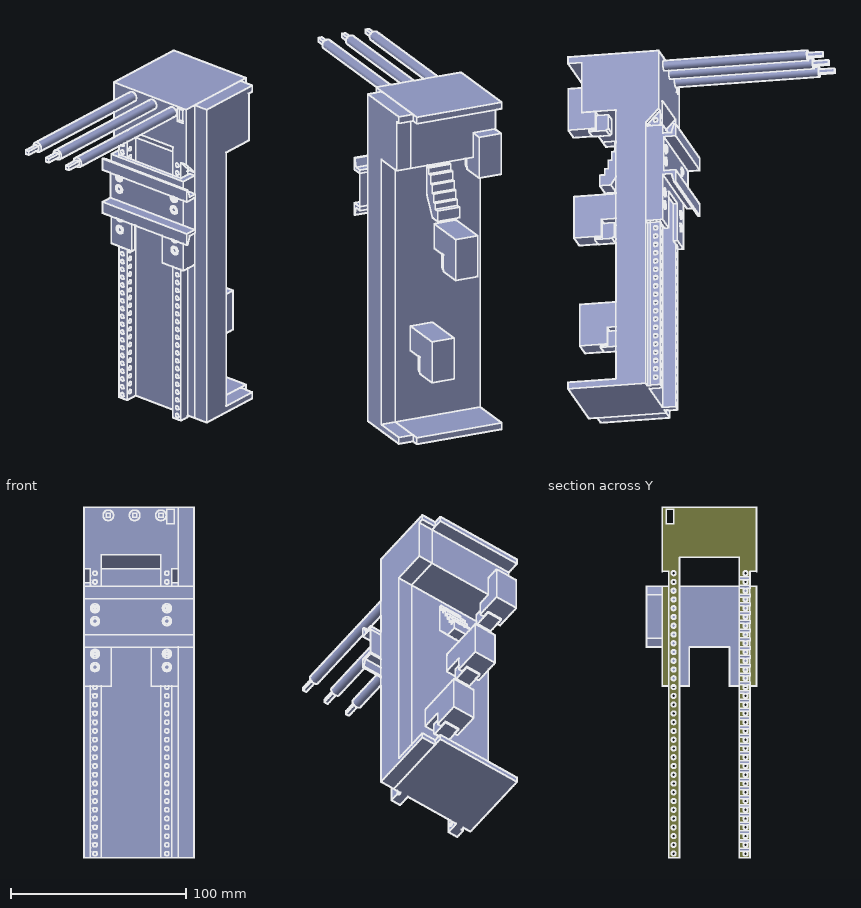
import cadquery as cq


HEIGHT = 200.0
WIDTH = 54.0
BACK_Y = 53.0
HEAD_BACK_Y = 45.0
COLUMN_BACK_Y = 25.0
HEAD_BOTTOM_Z = 166.0
TOP_FLANGE = 4.0
BOTTOM_FLANGE = 4.0

RIB_OUTER_INSET = 3.8
RIB_INNER_INSET = 10.0
RECESS_DEPTH = 7.5
CEILING_DROP = 8.0
SIDE_RECESS_TOP_Z = 157.0
CENTRE_RECESS_TOP_Z = 165.0
UNDERCUT_FRONT_Y = 5.8
UNDERCUT = 1.2
PERFORATION_DIAMETER = 2.5
PERFORATION_PITCH = 5.0
FRONT_PERFORATIONS = 33
FRONT_PERFORATION_DEPTH = 3.0
SIDE_PERFORATIONS = 32
FIRST_FRONT_Z = 2.5
FIRST_SIDE_Z = 4.5
SIDE_PERFORATION_Y = 2.5
FASTENER_XS = (6.5, 47.5)

POCKET_X = 47.5
POCKET_WIDTH = 4.2
POCKET_TOP_Z = 198.8
POCKET_HEIGHT = 8.2
POCKET_DEPTH = 2.0

HOOK_TOPS_Z = (181.0, 121.0, 61.0)
HOOK_FIRST_X = 0.5
HOOK_PITCH_X = 15.0
HOOK_WIDTH = 14.0
HOOK_HEIGHT = 25.0
HOOK_ARM = 15.0
HOOK_LIP_Y = 37.0
CLAMP_INSET = 2.5
CLAMP_FRONT_Y = 30.0
CLAMP_BACK_Y = 41.5
CLAMP_TOP_DROP = 16.5
CLAMP_BOTTOM_DROP = 26.0
CLAMP_CHAMFER = 1.2

LEVER_WIDTH = 14.0
LEVER_ROOT_Z = 139.5
LEVER_TOP_Z = 161.0
LEVER_COLLAR = ((26.0, 156.8), (27.5, 153.2))
LEVER_TEETH = 3
LEVER_TEETH_Y = 30.0
LEVER_TEETH_Z = 148.0
LEVER_TOOTH_DEPTH = 2.0
LEVER_TOOTH_HEIGHT = 5.0
LEVER_GRIP_TOP_Z = 134.5
LEVER_GRIP_BACK_Y = 39.0
LEVER_GRIP_FRONT_Y = 32.5
LEVER_BOTTOM_Z = 128.0

MODULE_WIDTH = 9.0
MODULE_BACK_Y = 48.0

OVERALL_WIDTH = WIDTH + MODULE_WIDTH
SADDLE_FRONT_Y = -2.5
FOOT_BOTTOM_Z = 98.0
FOOT_WIDTH = 15.5
RAIL_CENTRE_Z = 137.5
RAIL_HALF_HEIGHT = 17.5
RAIL_INNER_HALF = 10.2
RAIL_FLANGE = 2.2
RAIL_WEB_FRONT_Y = -3.0
RAIL_FRONT_Y = -10.0
LIP_ROOT_Y = -7.5
LIP_TIP_Y = -9.0
CARRIER_TOP_Z = RAIL_CENTRE_Z + RAIL_HALF_HEIGHT

SCREW_DIAMETER = 3.0
GROOVE_DIAMETER = 5.0
GROOVE_FLOOR_Y = -0.8
SCREW_PROUD = 0.5
UPPER_SCREW_Z = 142.5
LOWER_SCREW_Z = 135.0
FOOT_SCREW_ZS = (116.5, 108.8)
SLOT_WIDTH = 0.8
SLOT_DEPTH = 0.5
UPPER_SLOT_ANGLE = 90
FOOT_SLOT_ANGLE = 0

WIRE_XS = (14.0, 29.0, 44.0)
WIRE_Z = 195.5
WIRE_DIAMETER = 6.0
WIRE_LENGTH = 84.0
CONDUCTOR_SIDE = 2.5
CONDUCTOR_LENGTH = 9.0


def box(x0, x1, y0, y1, z0, z1):
    return cq.Workplane("XY").box(x1 - x0, y1 - y0, z1 - z0, centered=False).translate((x0, y0, z0))


def extrude_profile(points_yz, x0, x1):
    return cq.Workplane("YZ", origin=(x0, 0, 0)).polyline(points_yz).close().extrude(x1 - x0)


def rod(x, z, back_y, front_y, diameter):
    """Round rod that runs forwards from back_y to front_y."""
    return cq.Workplane("XZ", origin=(x, back_y, z)).circle(diameter / 2).extrude(back_y - front_y)


def column_profile(front_y, flange_y):
    """Side outline with an upper head and a flange at each end reaching flange_y."""
    return [
        (front_y, 0),
        (flange_y, 0),
        (flange_y, BOTTOM_FLANGE),
        (COLUMN_BACK_Y, BOTTOM_FLANGE),
        (COLUMN_BACK_Y, HEAD_BOTTOM_Z),
        (HEAD_BACK_Y, HEAD_BOTTOM_Z),
        (HEAD_BACK_Y, HEIGHT - TOP_FLANGE),
        (flange_y, HEIGHT - TOP_FLANGE),
        (flange_y, HEIGHT),
        (front_y, HEIGHT),
    ]


def front_recess(x0, x1, top_z):
    """Recess open at the bottom, with a sloping ceiling."""
    outline = [(0, 0), (RECESS_DEPTH, 0), (RECESS_DEPTH, top_z), (0, top_z + CEILING_DROP)]
    return extrude_profile(outline, x0, x1)


def front_perforations():
    heights = [FIRST_FRONT_Z + i * PERFORATION_PITCH for i in range(FRONT_PERFORATIONS)]
    points = [(x, z) for x in FASTENER_XS for z in heights]
    plane = cq.Workplane("XZ", origin=(0, FRONT_PERFORATION_DEPTH, 0))
    return plane.pushPoints(points).circle(PERFORATION_DIAMETER / 2).extrude(FRONT_PERFORATION_DEPTH)


def side_perforations():
    points = [(SIDE_PERFORATION_Y, FIRST_SIDE_Z + i * PERFORATION_PITCH) for i in range(SIDE_PERFORATIONS)]
    plane = cq.Workplane("YZ")
    return plane.pushPoints(points).circle(PERFORATION_DIAMETER / 2).extrude(RIB_INNER_INSET)


def make_hook(x, top_z):
    """Hook with a clamp block in the mouth of its jaw."""
    bottom_z = top_z - HOOK_HEIGHT
    arm = box(x, x + HOOK_WIDTH, COLUMN_BACK_Y, BACK_Y, top_z - HOOK_ARM, top_z)
    jaw = box(x, x + HOOK_WIDTH, HOOK_LIP_Y, BACK_Y, bottom_z, top_z)
    clamp = box(
        x + CLAMP_INSET,
        x + HOOK_WIDTH - CLAMP_INSET,
        CLAMP_FRONT_Y,
        CLAMP_BACK_Y,
        top_z - CLAMP_BOTTOM_DROP,
        top_z - CLAMP_TOP_DROP,
    )
    clamp = clamp.edges("|X and <Z and <Y").chamfer(CLAMP_CHAMFER)
    return arm.union(jaw).union(clamp)


def make_lever():
    """Lever whose side outline runs root, stepped collar, teeth and grip."""
    root = [(COLUMN_BACK_Y, LEVER_ROOT_Z), (COLUMN_BACK_Y, LEVER_TOP_Z)]
    collar = []
    ledge_z = LEVER_TOP_Z
    for back_y, bottom_z in LEVER_COLLAR:
        collar += [(back_y, ledge_z), (back_y, bottom_z)]
        ledge_z = bottom_z
    collar.append((LEVER_TEETH_Y, ledge_z))
    teeth = []
    for i in range(LEVER_TEETH):
        y = LEVER_TEETH_Y + i * LEVER_TOOTH_DEPTH
        z = LEVER_TEETH_Z - i * LEVER_TOOTH_HEIGHT
        teeth += [(y, z), (y + LEVER_TOOTH_DEPTH, z)]
    grip = [
        (LEVER_TEETH_Y + LEVER_TEETH * LEVER_TOOTH_DEPTH, LEVER_GRIP_TOP_Z),
        (LEVER_GRIP_BACK_Y, LEVER_GRIP_TOP_Z),
        (LEVER_GRIP_BACK_Y, LEVER_BOTTOM_Z),
        (LEVER_GRIP_FRONT_Y, LEVER_BOTTOM_Z),
    ]
    outline = root + collar + teeth + grip
    x0 = (WIDTH - LEVER_WIDTH) / 2
    return extrude_profile(outline, x0, x0 + LEVER_WIDTH)


def make_housing():
    body = extrude_profile(column_profile(0, BACK_Y), 0, WIDTH)

    body = body.cut(front_recess(0, RIB_OUTER_INSET, SIDE_RECESS_TOP_Z))
    body = body.cut(front_recess(WIDTH - RIB_OUTER_INSET, WIDTH, SIDE_RECESS_TOP_Z))
    body = body.cut(front_recess(RIB_INNER_INSET, WIDTH - RIB_INNER_INSET, CENTRE_RECESS_TOP_Z))

    undercut_end = RIB_OUTER_INSET + UNDERCUT
    for x0 in (0, WIDTH - undercut_end):
        body = body.cut(
            box(x0, x0 + undercut_end, UNDERCUT_FRONT_Y, RECESS_DEPTH, 0, SIDE_RECESS_TOP_Z)
        )

    body = body.cut(front_perforations()).cut(side_perforations())

    body = body.cut(
        box(
            POCKET_X,
            POCKET_X + POCKET_WIDTH,
            0,
            POCKET_DEPTH,
            POCKET_TOP_Z - POCKET_HEIGHT,
            POCKET_TOP_Z,
        )
    )
    for i, top_z in enumerate(HOOK_TOPS_Z):
        body = body.union(make_hook(HOOK_FIRST_X + i * HOOK_PITCH_X, top_z))
    return body


def make_module():
    """Side module with the column outline of the housing, but less deep."""
    return extrude_profile(column_profile(RECESS_DEPTH, MODULE_BACK_Y), WIDTH, OVERALL_WIDTH)


def make_rail():
    outer_half = RAIL_INNER_HALF + RAIL_FLANGE
    upper_half = [
        (RAIL_WEB_FRONT_Y, RAIL_INNER_HALF),
        (RAIL_FRONT_Y, RAIL_INNER_HALF),
        (RAIL_FRONT_Y, RAIL_HALF_HEIGHT),
        (LIP_TIP_Y, RAIL_HALF_HEIGHT),
        (LIP_ROOT_Y, outer_half),
        (SADDLE_FRONT_Y, outer_half),
    ]
    lower_half = [(y, -z) for y, z in reversed(upper_half)]
    outline = [(y, RAIL_CENTRE_Z + z) for y, z in upper_half + lower_half]
    return extrude_profile(outline, 0, OVERALL_WIDTH)


def make_saddle():
    saddle = box(0, WIDTH, SADDLE_FRONT_Y, 0, RAIL_CENTRE_Z - RAIL_HALF_HEIGHT, CARRIER_TOP_Z)
    for x0 in (0, WIDTH - FOOT_WIDTH):
        foot = box(x0, x0 + FOOT_WIDTH, SADDLE_FRONT_Y, 0, FOOT_BOTTOM_Z, CARRIER_TOP_Z)
        saddle = saddle.union(foot)
    for x0 in (0, WIDTH - RIB_OUTER_INSET):
        flank = box(x0, x0 + RIB_OUTER_INSET, SADDLE_FRONT_Y, RECESS_DEPTH, FOOT_BOTTOM_Z, CARRIER_TOP_Z)
        saddle = saddle.union(flank)
    return saddle


def add_screw(body, x, z, surface_y, head_y, slot_angle=None):
    """Ring groove sunk from surface_y around a screw head whose face lies at head_y."""
    body = body.cut(rod(x, z, GROOVE_FLOOR_Y, surface_y, GROOVE_DIAMETER))
    head = rod(x, z, GROOVE_FLOOR_Y, head_y, SCREW_DIAMETER)
    if slot_angle is not None:
        slot = cq.Workplane("XY").box(GROOVE_DIAMETER, 2 * SLOT_DEPTH, SLOT_WIDTH)
        slot = slot.rotate((0, 0, 0), (0, 1, 0), slot_angle).translate((x, head_y, z))
        head = head.cut(slot)
    return body.union(head)


def make_carrier():
    proud_y = RAIL_WEB_FRONT_Y - SCREW_PROUD
    slotted_foot_z, plain_foot_z = FOOT_SCREW_ZS
    carrier = make_saddle().union(make_rail())
    for x in FASTENER_XS:
        carrier = add_screw(carrier, x, UPPER_SCREW_Z, RAIL_WEB_FRONT_Y, proud_y, UPPER_SLOT_ANGLE)
        carrier = add_screw(carrier, x, LOWER_SCREW_Z, RAIL_WEB_FRONT_Y, RAIL_WEB_FRONT_Y)
        carrier = add_screw(carrier, x, slotted_foot_z, SADDLE_FRONT_Y, SADDLE_FRONT_Y, FOOT_SLOT_ANGLE)
        carrier = add_screw(carrier, x, plain_foot_z, SADDLE_FRONT_Y, SADDLE_FRONT_Y)
    return carrier


def make_wire(x):
    """Insulated wire with a bare square conductor at its end."""
    insulation = rod(x, WIRE_Z, 0, -WIRE_LENGTH, WIRE_DIAMETER)
    end_face = insulation.faces("<Y").workplane(origin=(x, -WIRE_LENGTH, WIRE_Z))
    return end_face.rect(CONDUCTOR_SIDE, CONDUCTOR_SIDE).extrude(CONDUCTOR_LENGTH)


housing = make_housing()
lever = make_lever()
module = make_module()
carrier = make_carrier()
wires = [make_wire(x) for x in WIRE_XS]

result = cq.Compound.makeCompound(
    [housing.val(), lever.val(), module.val(), carrier.val(), *[wire.val() for wire in wires]]
)